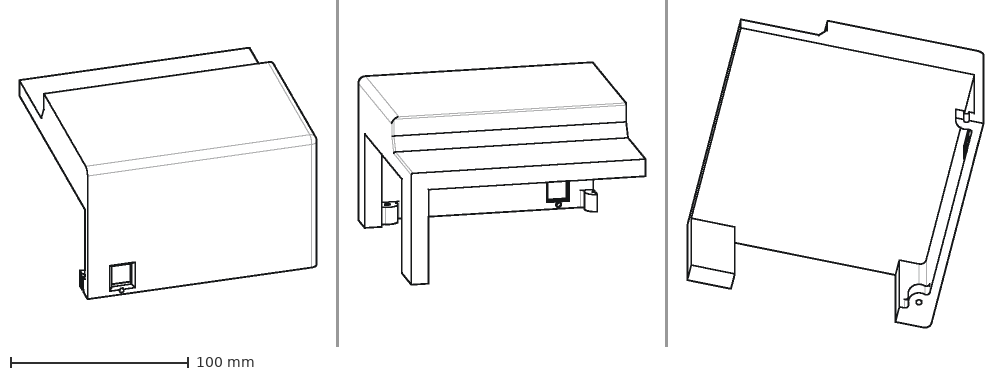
import cadquery as cq
import math

length = 140.0
depth = 135.0
height = 84.0

ceiling_z = 55.0
ledge_z = 65.1
slope_start_x = 45.1
step_x = 49.8
slope_top_z = 73.1
large_round = 4.0
small_round = 1.0

side_wall = 5.3
back_wall = 10.0
left_leg_width = 25.2
right_leg_width = 20.0
inner_corner_round = 3.5
side_wall_x = length - side_wall
back_wall_y = depth - back_wall

boss_height = 10.1
boss_radius = 6.0
boss_bore = 3.1
boss_blend = 2.0
boss_x = 130.0
front_boss_y = 0.0
back_boss_y = 119.7

window_y = 20.5
window_z = 11.5
window_width = 11.5
window_height = 13.2
window_chamfer = 0.7
window_outer_chamfer = 1.7
pin_hole_y = 20.0
pin_hole_z = 2.5
pin_hole_diameter = 2.5
pin_hole_mouth = 3.1


def box(x0, x1, y0, y1, z0, z1):
    """Axis-aligned box between two opposite corners."""
    return cq.Workplane("XY").box(x1 - x0, y1 - y0, z1 - z0, centered=False).translate((x0, y0, z0))


def edges_near(points):
    """Selector for the edges closest to each of the given points."""
    selector = cq.selectors.NearestToPointSelector(points[0])
    for point in points[1:]:
        selector = selector + cq.selectors.NearestToPointSelector(point)
    return selector


def make_stepped_block():
    """Stepped profile with a small round on its back edges, taller than the part."""
    uncut_height = 2 * height
    block = (
        cq.Workplane("XZ")
        .moveTo(0, 0)
        .lineTo(length, 0)
        .lineTo(length, uncut_height)
        .lineTo(step_x, uncut_height)
        .lineTo(step_x, slope_top_z)
        .lineTo(slope_start_x, ledge_z)
        .lineTo(0, ledge_z)
        .close()
        .extrude(-depth)
    )
    ledge_edge = (slope_start_x / 2, depth, ledge_z)
    slope_edge = ((slope_start_x + step_x) / 2, depth, (ledge_z + slope_top_z) / 2)
    step_edge = (step_x, depth, (slope_top_z + uncut_height) / 2)
    return block.edges(edges_near([ledge_edge, slope_edge, step_edge])).fillet(small_round)


def make_rounded_envelope():
    """Full-size box with large rounds at the top, right and back."""
    right_back_edge = (length, depth, height / 2)
    right_top_edge = (length, depth / 2, height)
    back_top_edge = (length / 2, depth, height)
    envelope = box(0, length, 0, depth, 0, height)
    return envelope.edges(edges_near([right_back_edge, right_top_edge, back_top_edge])).fillet(large_round)


def make_step_edge_cutter():
    """Sharp sliver to remove so that the top edge of the step is rounded."""
    corner = box(step_x, step_x + small_round, 0, depth, height - small_round, height)
    rounding = (
        cq.Workplane("XZ")
        .center(step_x + small_round, height - small_round)
        .circle(small_round)
        .extrude(-depth)
    )
    return corner.cut(rounding)


def make_shell():
    """Stepped block with rounded edges, hollowed below the roof."""
    block = make_stepped_block().intersect(make_rounded_envelope()).cut(make_step_edge_cutter())
    cavity = box(0, side_wall_x, 0, back_wall_y, 0, ceiling_z)
    cavity = cavity.edges("|Z and >X and >Y").fillet(inner_corner_round)
    back_opening = box(left_leg_width, length - right_leg_width, 0, depth, 0, ceiling_z)
    return block.cut(cavity).cut(back_opening)


def make_boss(boss_y, walls):
    """Bored boss blended into the given walls, as one slab of boss_height."""
    boss = cq.Workplane("XY").center(boss_x, boss_y).circle(boss_radius).extrude(boss_height)
    slab = walls.union(boss)

    side_reach = math.sqrt(boss_radius**2 - (side_wall_x - boss_x) ** 2)
    corners = [(side_wall_x, boss_y - side_reach), (side_wall_x, boss_y + side_reach)]
    back_gap = back_wall_y - boss_y
    if back_gap < boss_radius:
        back_reach = math.sqrt(boss_radius**2 - back_gap**2)
        corners = [corners[0], (boss_x - back_reach, back_wall_y)]
    for x, y in corners:
        edge = cq.selectors.NearestToPointSelector((x, y, boss_height / 2))
        slab = slab.edges("|Z").edges(edge).fillet(boss_blend)

    bore = cq.Workplane("XY").center(boss_x, boss_y).circle(boss_bore / 2).extrude(boss_height)
    return slab.cut(bore)


def make_front_boss():
    """Half boss, cut off flush with the front face."""
    walls = box(side_wall_x, length, -2 * boss_radius, depth / 2, 0, boss_height)
    inside = box(0, length, 0, depth, 0, boss_height)
    return make_boss(front_boss_y, walls).intersect(inside)


def make_back_boss():
    """Full boss that fills the inner corner of the side and back walls."""
    walls = (
        box(side_wall_x, length - large_round, depth / 2, back_wall_y, 0, boss_height)
        .union(box(length - right_leg_width, length - large_round, back_wall_y, depth - large_round,
                   0, boss_height))
        .union(box(boss_x, side_wall_x, back_boss_y, back_wall_y, 0, boss_height))
    )
    return make_boss(back_boss_y, walls)


def make_window_chamfer(face_x, size):
    """Tapered cutter from a side wall face inward; a negative size tapers toward -X."""
    widening = 2 * abs(size)
    return (
        cq.Workplane("YZ", origin=(face_x, window_y, window_z))
        .rect(window_width + widening, window_height + widening)
        .workplane(offset=size)
        .rect(window_width, window_height)
        .loft(ruled=True)
    )


def make_window():
    """Rectangular cutter through the side wall, chamfered at both faces."""
    opening = (
        cq.Workplane("YZ", origin=(side_wall_x, window_y, window_z))
        .rect(window_width, window_height)
        .extrude(side_wall)
    )
    inner_chamfer = make_window_chamfer(side_wall_x, window_chamfer)
    outer_chamfer = make_window_chamfer(length, -window_outer_chamfer)
    return opening.union(inner_chamfer).union(outer_chamfer)


def make_pin_hole():
    """Round cutter with a countersunk mouth on the inner face of the side wall."""
    center = cq.Workplane("YZ", origin=(side_wall_x, pin_hole_y, pin_hole_z))
    hole = center.circle(pin_hole_diameter / 2).extrude(side_wall)
    mouth = (
        center.circle(pin_hole_mouth / 2)
        .workplane(offset=(pin_hole_mouth - pin_hole_diameter) / 2)
        .circle(pin_hole_diameter / 2)
        .loft()
    )
    return hole.union(mouth)


result = (
    make_shell()
    .union(make_front_boss())
    .union(make_back_boss())
    .cut(make_window())
    .cut(make_pin_hole())
)